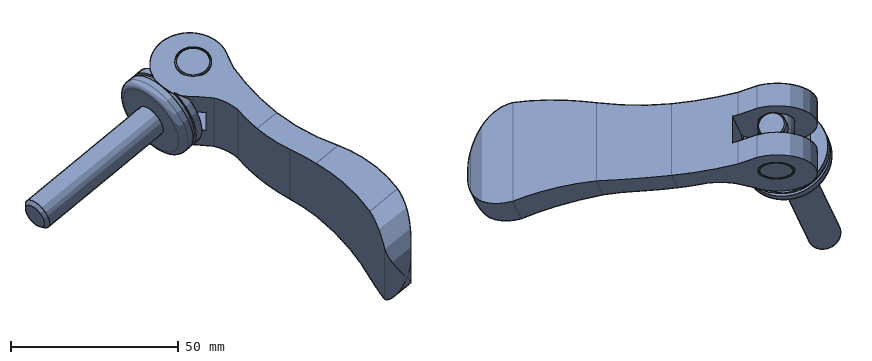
import cadquery as cq
import math


LEVER_THICKNESS = 24.1
CAM_RADIUS = 11.9
CAM_OFFSET = 1.5
SLOT_WIDTH = 8.9
SLOT_FLOOR_X = 12.0
GRIP_WIDTH = 33.2
GRIP_RADIUS = GRIP_WIDTH / 2
FLARE_START_X = 31.2
FLARE_MID_X = 43.0
FLARE_MID_Z = 12.4
FLARE_END_X = 53.6
FLARE_END_Z = 13.1

PIN_DIAMETER = 11.0
PIN_HOLE_DIAMETER = 11.1
PIN_CHAMFER = 0.49

STUD_DIAMETER = 10.2
STUD_NECK_DIAMETER = 8.9
STUD_TIP_DIAMETER = 8.8
STUD_END_Y = -68.0
STUD_TOP_Y = 6.8
STUD_CHAMFER = 1.1
STUD_TIP_CHAMFER = 0.4

WASHER_DIAMETER = 27.1
NECK_DIAMETER = 25.4
THRUST_TOP_Y = -10.2
FLANGE_THICKNESS = 2.4
WASHER_TOP_Y = -14.0
WASHER_THICKNESS = 4.0
WASHER_FILLET = 2.0

OVERALL_LENGTH = 109.5
TIP_X = OVERALL_LENGTH - WASHER_DIAMETER / 2

SHOULDER_Y = WASHER_TOP_Y


def y_cylinder(diameter, y_low, y_high):
    """Cylinder along Y between two heights."""
    return (
        cq.Workplane("XZ", origin=(0, y_high, 0))
        .circle(diameter / 2)
        .extrude(y_high - y_low)
    )


def z_cylinder(radius, length, y=0.0):
    """Cylinder along Z, centred on the mid plane."""
    return cq.Workplane("XY").center(0, y).circle(radius).extrude(length / 2, both=True)


def cam_point(angle):
    """Point on the cam rim at an angle in degrees from +X."""
    turn = math.radians(angle)
    return (CAM_RADIUS * math.cos(turn), CAM_RADIUS * math.sin(turn) - CAM_OFFSET)


def lever_profile():
    """Side shape of the lever: round cam, waisted arm and drooping grip."""
    top_angle = 72
    back_angle = 195
    bottom_angle = -41
    return (
        cq.Workplane("XY")
        .moveTo(*cam_point(top_angle))
        .lineTo(10.3, 6.8)
        .threePointArc((20.3, 4.6), (31.2, 3.7))
        .threePointArc((42.5, 4.6), (53.6, 7.1))
        .threePointArc((66.7, 8.3), (79.3, 6.0))
        .threePointArc((87.7, 2.2), (94.7, -3.9))
        .threePointArc((TIP_X, -7.2), (89.9, -10.5))
        .threePointArc((68.1, -3.1), (43.9, -3.6))
        .threePointArc((33.1, -4.7), (22.1, -3.6))
        .threePointArc((17.7, -4.0), (13.9, -5.5))
        .lineTo(*cam_point(bottom_angle))
        .threePointArc(cam_point(back_angle), cam_point(top_angle))
        .close()
        .extrude(LEVER_THICKNESS, both=True)
    )


def lever_plan():
    """Outline from the side of the pin: straight hub, flared sides and a round end."""
    half = LEVER_THICKNESS / 2
    grip_x = TIP_X - GRIP_RADIUS
    back_x = -2 * CAM_RADIUS
    depth = 2 * CAM_RADIUS
    return (
        cq.Workplane("XZ")
        .moveTo(back_x, half)
        .lineTo(FLARE_START_X, half)
        .threePointArc((FLARE_MID_X, FLARE_MID_Z), (FLARE_END_X, FLARE_END_Z))
        .lineTo(grip_x, GRIP_RADIUS)
        .threePointArc((TIP_X, 0), (grip_x, -GRIP_RADIUS))
        .lineTo(FLARE_END_X, -FLARE_END_Z)
        .threePointArc((FLARE_MID_X, -FLARE_MID_Z), (FLARE_START_X, -half))
        .lineTo(back_x, -half)
        .close()
        .extrude(depth, both=True)
    )


def make_lever():
    slot_length = 2 * SLOT_FLOOR_X + CAM_RADIUS
    slot = cq.Workplane("XY").box(slot_length, 4 * CAM_RADIUS, SLOT_WIDTH)
    slot = slot.translate((SLOT_FLOOR_X - slot_length / 2, 0, 0))
    pin_hole = z_cylinder(PIN_HOLE_DIAMETER / 2, LEVER_THICKNESS)
    return lever_profile().intersect(lever_plan()).cut(slot).cut(pin_hole)


def make_pin():
    pin = z_cylinder(PIN_DIAMETER / 2, LEVER_THICKNESS)
    pin = pin.faces("|Z").chamfer(PIN_CHAMFER)
    return pin.cut(y_cylinder(STUD_TIP_DIAMETER, -PIN_DIAMETER, PIN_DIAMETER))


def make_stud():
    shank = y_cylinder(STUD_DIAMETER, STUD_END_Y, SHOULDER_Y)
    shank = shank.faces("<Y").chamfer(STUD_CHAMFER)
    neck = y_cylinder(STUD_NECK_DIAMETER, SHOULDER_Y, -PIN_DIAMETER / 2)
    tip = y_cylinder(STUD_TIP_DIAMETER, -PIN_DIAMETER / 2, STUD_TOP_Y)
    tip = tip.faces(">Y").chamfer(STUD_TIP_CHAMFER)
    return shank.union(neck).union(tip)


def make_thrust_piece():
    """Flanged saddle that the cam bears on."""
    flange = y_cylinder(WASHER_DIAMETER, THRUST_TOP_Y - FLANGE_THICKNESS, THRUST_TOP_Y)
    neck = y_cylinder(NECK_DIAMETER, WASHER_TOP_Y, THRUST_TOP_Y)
    saddle = z_cylinder(CAM_RADIUS, 2 * WASHER_DIAMETER, -CAM_OFFSET)
    bore = y_cylinder(STUD_NECK_DIAMETER, WASHER_TOP_Y, THRUST_TOP_Y)
    return flange.union(neck).cut(saddle).cut(bore)


def make_washer():
    bottom_y = WASHER_TOP_Y - WASHER_THICKNESS
    washer = y_cylinder(WASHER_DIAMETER, bottom_y, WASHER_TOP_Y)
    washer = washer.faces("<Y").edges().fillet(WASHER_FILLET)
    return washer.cut(y_cylinder(STUD_DIAMETER, bottom_y, WASHER_TOP_Y))


lever = make_lever()
pin = make_pin()
stud = make_stud()
thrust_piece = make_thrust_piece()
washer = make_washer()

result = cq.Compound.makeCompound(
    [lever.val(), pin.val(), stud.val(), thrust_piece.val(), washer.val()]
)